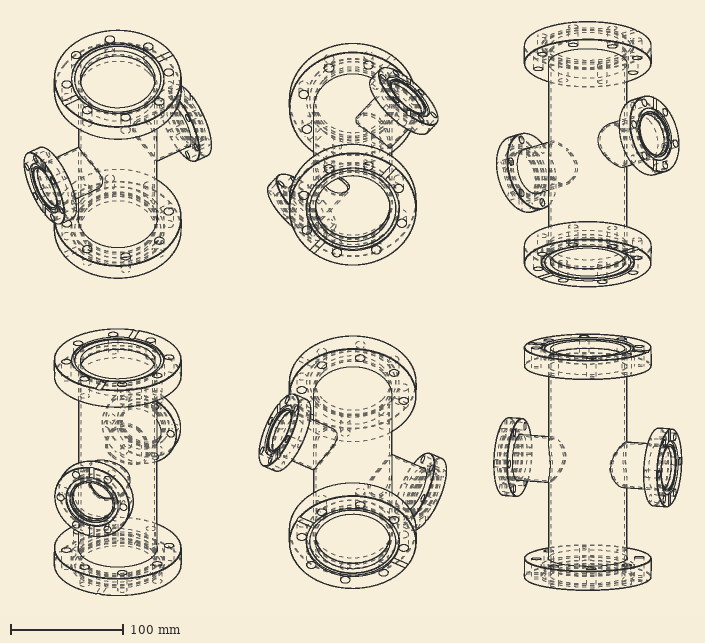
import cadquery as cq

main_length = 210.0
side_length = 154.0

main_tube_d = 70.0
main_tube_bore = 66.0
side_tube_d = 41.0
side_tube_bore = 38.0

LARGE = dict(
    outer_d=113.5,
    thickness=17.6,
    edge_chamfer=0.5,
    recess_d=82.3,
    recess_depth=1.7,
    knife_d=77.0,
    knife_depth=0.8,
    land_d=76.6,
    land_depth=1.3,
    bore_d=66.5,
    socket_d=main_tube_d,
    tube_depth=8.2,
    insert_d=82.5,
    insert_depth=11.0,
    ring_bore=83.2,
    ring_back_hole=70.8,
    bolt_count=8,
    bolt_circle_d=92.0,
    bolt_hole_d=8.5,
    first_bolt_angle=22.5,
    groove_width=5.2,
    groove_depth=1.0,
)
SMALL = dict(
    outer_d=70.0,
    thickness=13.0,
    edge_chamfer=0.5,
    recess_d=48.0,
    recess_depth=1.7,
    knife_d=41.8,
    knife_depth=0.8,
    land_d=41.4,
    land_depth=1.3,
    bore_d=38.5,
    socket_d=side_tube_d,
    tube_depth=4.8,
    insert_d=48.3,
    insert_depth=8.0,
    ring_bore=49.0,
    ring_back_hole=42.0,
    bolt_count=6,
    bolt_circle_d=58.8,
    bolt_hole_d=6.7,
    first_bolt_angle=0.0,
    groove_width=4.2,
    groove_depth=1.0,
)


def cylinder(diameter, bottom, top):
    return cq.Workplane("XY").workplane(offset=bottom).circle(diameter / 2).extrude(top - bottom)


def face_along_y(body, sign):
    """Turn a body that faces +Z so that it faces +Y (sign 1) or -Y (sign -1)."""
    return body.rotate((0, 0, 0), (1, 0, 0), -90 * sign)



def seal_space(size, outer_d):
    """Open space above the sloping recess floor, the knife edge and the land."""
    outline = [
        (0, 0),
        (outer_d / 2, 0),
        (outer_d / 2, -size["recess_depth"]),
        (size["knife_d"] / 2, -size["knife_depth"]),
        (size["land_d"] / 2, -size["land_depth"]),
        (0, -size["land_depth"]),
    ]
    return cq.Workplane("XZ").polyline(outline).close().revolve(360, (0, 0), (0, 1))


def tube_passage(size):
    """Bore from the land down to the end of the tube, then the socket around the tube."""
    bore = cylinder(size["bore_d"], -size["tube_depth"], 0)
    socket = cylinder(size["socket_d"], -size["thickness"], -size["tube_depth"])
    return bore.union(socket)


def bolt_holes(size):
    pattern = cq.Workplane("XY").polarArray(
        size["bolt_circle_d"] / 2, size["first_bolt_angle"], 360, size["bolt_count"])
    return pattern.circle(size["bolt_hole_d"] / 2).extrude(-size["thickness"])


def leak_test_grooves(size):
    """Two shallow round-bottomed grooves from the recess out to the rim, along Y."""
    width = size["groove_width"]
    depth = size["groove_depth"]
    radius = (width ** 2 / 4 + depth ** 2) / (2 * depth)
    rod = cq.Workplane("XZ").center(0, radius - depth).circle(radius).extrude(size["outer_d"] / 2, both=True)
    return rod.cut(cylinder(size["recess_d"], -depth, 2 * radius))


def flange_blank(size):
    """Chamfered disc with its bolt holes and leak test grooves."""
    disc = cylinder(size["outer_d"], -size["thickness"], 0)
    disc = disc.faces("<Z or >Z").chamfer(size["edge_chamfer"])
    return disc.cut(bolt_holes(size)).cut(leak_test_grooves(size))



def fixed_flange(size):
    return flange_blank(size).cut(tube_passage(size)).cut(seal_space(size, size["recess_d"]))


def rotatable_ring(size):
    insert_seat = cylinder(size["ring_bore"], -size["insert_depth"], 0)
    back_hole = cylinder(size["ring_back_hole"], -size["thickness"], -size["insert_depth"])
    return flange_blank(size).cut(insert_seat).cut(back_hole)


def rotatable_insert(size):
    disc = cylinder(size["insert_d"], -size["insert_depth"], 0)
    return disc.cut(tube_passage(size)).cut(seal_space(size, size["insert_d"]))



main_tube_end = main_length / 2 - LARGE["tube_depth"]
side_tube_end = side_length / 2 - SMALL["tube_depth"]


def main_tube():
    tube = cylinder(main_tube_d, -main_tube_end, main_tube_end)
    bore = cylinder(main_tube_bore, -main_tube_end, main_tube_end)
    side_openings = face_along_y(cylinder(side_tube_bore, -side_tube_end, side_tube_end), 1)
    return tube.cut(bore).cut(side_openings)


def side_tube(sign):
    """Side tube with its inner end shaped to sit on the main tube."""
    tube = cylinder(side_tube_d, 0, side_tube_end).cut(cylinder(side_tube_bore, 0, side_tube_end))
    return face_along_y(tube, sign).cut(cylinder(main_tube_d, -side_tube_d, side_tube_d))



def at_top(body):
    return body.translate((0, 0, main_length / 2))


def at_bottom(body):
    return at_top(body).rotate((0, 0, 0), (1, 0, 0), 180)


def at_side(body, sign):
    return face_along_y(body.translate((0, 0, side_length / 2)), sign)


bodies = [
    main_tube(),
    at_top(fixed_flange(LARGE)),
    at_bottom(rotatable_ring(LARGE)),
    at_bottom(rotatable_insert(LARGE)),
    at_side(fixed_flange(SMALL), -1),
    at_side(rotatable_ring(SMALL), 1),
    at_side(rotatable_insert(SMALL), 1),
]
for sign in (-1, 1):
    bodies.append(side_tube(sign))

result = cq.Compound.makeCompound([body.val() for body in bodies])